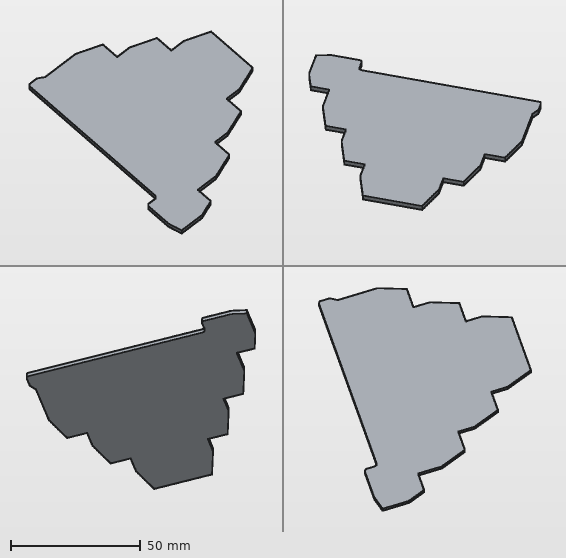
import cadquery as cq
import math

length = 91.3
depth = 74.6
thickness = 2.1

tier_count = 3
tier_center_x = 41.5
top_tier_width = 31.5
tier_step_width = 12.05
tier_step_height = 17.4
shoulder_inset = 3.9
shoulder_angle = 20.0

base_y = 5.4
bulge_low_y = 10.0
bulge_high_y = 12.8

foot_left_x = 73.2
foot_top_y = 19.35
foot_shoulder_inset = 2.6
foot_bevel_width = 5.75
foot_bevel_height = 1.55

outer_corner_radius = 1.0
inner_corner_radius = 1.3


def shoulder_drop(inset):
    """Height of a sloping shoulder with the given sideways inset."""
    return inset / math.tan(math.radians(shoulder_angle))


def tier_half_width(tier):
    return top_tier_width / 2 + tier * tier_step_width


def tier_side(side):
    """Points down one side of the tiers; side is -1 for left and 1 for right."""
    points = []
    for tier in range(tier_count):
        top_y = depth - tier * tier_step_height
        edge_x = tier_center_x + side * tier_half_width(tier)
        points.append((edge_x - side * shoulder_inset, top_y))
        points.append((edge_x, top_y - shoulder_drop(shoulder_inset)))
        if tier < tier_count - 1:
            points.append((edge_x, top_y - tier_step_height))
    return points


body_left_x = tier_center_x - tier_half_width(tier_count - 1)
body_right_x = tier_center_x + tier_half_width(tier_count - 1)

foot_right_side = [
    (body_right_x, foot_top_y),
    (length - foot_shoulder_inset, foot_top_y),
    (length, foot_top_y - shoulder_drop(foot_shoulder_inset)),
    (length, foot_bevel_height),
    (length - foot_bevel_width, 0),
]
foot_outer_corner = (foot_left_x, 0)
foot_inner_corner = (foot_left_x, base_y)
base_left_corner = (0, base_y)
left_bulge = [(0, bulge_low_y), (body_left_x, bulge_high_y)]

outline = (
    tier_side(1)
    + foot_right_side
    + [foot_outer_corner, foot_inner_corner, base_left_corner]
    + left_bulge
    + tier_side(-1)[::-1]
)
plate = cq.Workplane("XY").polyline(outline).close().extrude(thickness)


def round_corner(body, corner, radius):
    """Round the upright edge of the plate at one outline corner."""
    edge = cq.selectors.NearestToPointSelector((*corner, thickness / 2))
    return body.edges("|Z").edges(edge).fillet(radius)


plate = round_corner(plate, base_left_corner, outer_corner_radius)
plate = round_corner(plate, foot_outer_corner, outer_corner_radius)
plate = round_corner(plate, foot_inner_corner, inner_corner_radius)

result = plate